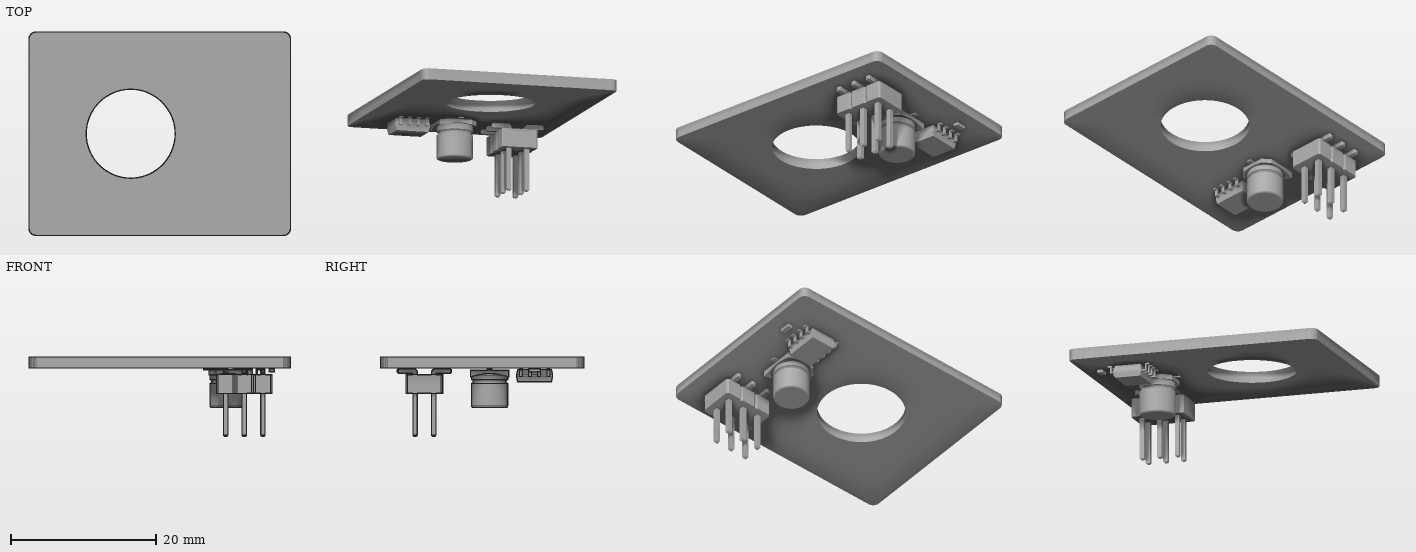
import cadquery as cq
import math


mounting_gap = 0.07

board_length = 36
board_width = 28.0
board_thickness = 1.55
corner_radius = 0.97
corner_facets = 8
opening_diameter = 12.2
opening_facets = 78
opening_x = -4.0

header_x = 11.63
header_y = -7.95
pitch = 2.55
columns = 3
rows = 2
block_top = 0.83
block_height = pitch
block_chamfer = 0.25
pin_thickness = 0.65
pin_end_depth = 9.32
pin_tip_chamfer = 0.18
foot_end = 3.75
foot_bend_radius = 0.55

capacitor_x = 9.4
capacitor_y = 1.0
can_diameter = 5.0
can_top = 0.65
can_bottom = 5.35
can_rim_radius = 0.3
groove_depth = 1.75
groove_radius = 0.25
base_width = 5.3
base_top = 0.18
base_bottom = 1.1
base_chamfer = 1.0
recess_radius = 2.6
terminal_width = 0.65
terminal_thickness = 0.18
terminal_span = 6.7
terminal_gap = 1.35

chip_x = 10.85
chip_y = 7.2
chip_length = 4.95
chip_width = 3.95
chip_top = 0.1
chip_middle_top = 0.83
chip_middle_bottom = 1.08
chip_bottom = 1.8
chip_inset = 0.15
lead_pitch = 1.25
leads_per_side = 4
lead_width = 0.45
lead_thickness = 0.18
lead_span = 6.0
lead_knee = 5.22

resistor_x = 15.4
resistor_y = chip_y
resistor_length = 1.6
resistor_width = 0.8
resistor_height = 0.45
resistor_edge_radius = 0.07


def make_board():
    """Flat plate with faceted round corners and a faceted round opening."""
    outline = []
    for corner, (side_x, side_y) in enumerate([(1, 1), (-1, 1), (-1, -1), (1, -1)]):
        center_x = side_x * (board_length / 2 - corner_radius)
        center_y = side_y * (board_width / 2 - corner_radius)
        for step in range(corner_facets + 1):
            angle = math.pi / 2 * (corner + step / corner_facets)
            outline.append((
                center_x + corner_radius * math.cos(angle),
                center_y + corner_radius * math.sin(angle),
            ))
    plate = cq.Workplane("XY").polyline(outline).close().extrude(board_thickness)
    opening = (
        cq.Workplane("XY")
        .center(opening_x, 0)
        .polygon(opening_facets, opening_diameter)
        .extrude(board_thickness)
    )
    return plate.cut(opening)


def make_header_pin(x, side):
    """L-shaped square pin: a foot along the board, pointing to `side` in Y, and a long post."""
    inner = pitch / 2 - pin_thickness / 2
    outer = pitch / 2 + pin_thickness / 2
    profile = [
        (inner, 0),
        (foot_end, 0),
        (foot_end, -pin_thickness),
        (outer, -pin_thickness),
        (outer, -pin_end_depth),
        (inner, -pin_end_depth),
    ]
    pin = (
        cq.Workplane("YZ")
        .polyline(profile)
        .close()
        .extrude(pin_thickness / 2, both=True)
        .faces(">Y or <Z")
        .chamfer(pin_tip_chamfer)
    )
    pin = pin.edges("|X and <Y and >Z").fillet(foot_bend_radius)
    if side < 0:
        pin = pin.mirror("XZ")
    return pin.translate((x, 0, 0))


def make_header():
    """Row of chamfered blocks, joined side by side, with two bent pins in each block."""
    header = None
    for column in range(columns):
        x = (column - (columns - 1) / 2) * pitch
        block = (
            cq.Workplane("XY")
            .workplane(offset=-block_top)
            .center(x, 0)
            .rect(pitch, rows * pitch)
            .extrude(-block_height)
            .edges("|Z")
            .chamfer(block_chamfer)
        )
        header = block if header is None else header.union(block)
        for side in (1, -1):
            header = header.union(make_header_pin(x, side))
    return header.translate((header_x, header_y, -mounting_gap))


def make_can():
    """Cylinder with rounded rims and a half-round groove near the top."""
    radius = can_diameter / 2
    can = (
        cq.Workplane("XY")
        .workplane(offset=-can_bottom)
        .circle(radius)
        .extrude(can_bottom - can_top)
        .edges()
        .fillet(can_rim_radius)
    )
    groove = cq.Workplane("XY").add(
        cq.Solid.makeTorus(radius, groove_radius, cq.Vector(0, 0, -groove_depth))
    )
    return can.cut(groove)


def make_capacitor_base():
    """Square base, chamfered at its two -X corners, with a conical recess around the can."""
    base = (
        cq.Workplane("XY")
        .workplane(offset=-base_top)
        .rect(base_width, base_width)
        .extrude(base_top - base_bottom)
        .edges("|Z and <X")
        .chamfer(base_chamfer)
    )
    corner_reach = base_width / math.sqrt(2)
    recess = (
        cq.Workplane("XZ")
        .polyline([
            (0, -can_top),
            (recess_radius, -can_top),
            (corner_reach, -base_bottom),
            (0, -base_bottom),
        ])
        .close()
        .revolve(360, (0, 0, 0), (0, 1, 0))
    )
    return base.cut(recess)


def make_capacitor():
    """Can in its base, with two flat terminals that reach past the base along X."""
    capacitor = make_capacitor_base().union(make_can())
    terminal_length = (terminal_span - terminal_gap) / 2
    terminal_offset = (terminal_span + terminal_gap) / 4
    for side in (1, -1):
        terminal = (
            cq.Workplane("XY")
            .center(side * terminal_offset, 0)
            .rect(terminal_length, terminal_width)
            .extrude(-terminal_thickness)
        )
        capacitor = capacitor.union(terminal)
    return capacitor.translate((capacitor_x, capacitor_y, -mounting_gap))


def make_chip_lead(y, side):
    """Lead with a shoulder at mid height, a vertical leg and a flat foot along the board."""
    foot_tip = lead_span / 2
    knee = lead_knee / 2
    shoulder = (chip_middle_top + chip_middle_bottom + lead_thickness) / 2
    profile = [
        (0, -shoulder),
        (knee, -shoulder),
        (knee, -lead_thickness),
        (foot_tip, -lead_thickness),
        (foot_tip, 0),
        (knee - lead_thickness, 0),
        (knee - lead_thickness, lead_thickness - shoulder),
        (0, lead_thickness - shoulder),
    ]
    lead = (
        cq.Workplane("XZ")
        .polyline(profile)
        .close()
        .extrude(lead_width / 2, both=True)
    )
    if side < 0:
        lead = lead.mirror("YZ")
    return lead.translate((0, y, 0))


def make_chip_body():
    """Straight middle band with the body narrowing above and below it."""
    band_height = chip_middle_bottom - chip_middle_top
    body = (
        cq.Workplane("XY")
        .workplane(offset=-chip_middle_bottom)
        .rect(chip_width, chip_length)
        .extrude(band_height)
    )
    for wide_depth, narrow_depth in ((chip_middle_top, chip_top), (chip_middle_bottom, chip_bottom)):
        half = (
            cq.Workplane("XY")
            .workplane(offset=-wide_depth)
            .rect(chip_width, chip_length)
            .workplane(offset=wide_depth - narrow_depth)
            .rect(chip_width - 2 * chip_inset, chip_length - 2 * chip_inset)
            .loft(ruled=True)
        )
        body = body.union(half)
    return body


def make_chip():
    """Chip body with a row of bent leads along each of its two long sides."""
    chip = make_chip_body()
    for position in range(leads_per_side):
        y = (position - (leads_per_side - 1) / 2) * lead_pitch
        for side in (1, -1):
            chip = chip.union(make_chip_lead(y, side))
    return chip.translate((chip_x, chip_y, -mounting_gap))


def make_resistor():
    """Plain block with all its edges rounded."""
    return (
        cq.Workplane("XY")
        .rect(resistor_width, resistor_length)
        .extrude(-resistor_height)
        .edges()
        .fillet(resistor_edge_radius)
        .translate((resistor_x, resistor_y, -mounting_gap))
    )


board = make_board()
header = make_header()
capacitor = make_capacitor()
chip = make_chip()
resistor = make_resistor()

result = cq.Compound.makeCompound([
    board.solids().val(),
    header.solids().val(),
    capacitor.solids().val(),
    chip.solids().val(),
    resistor.solids().val(),
])